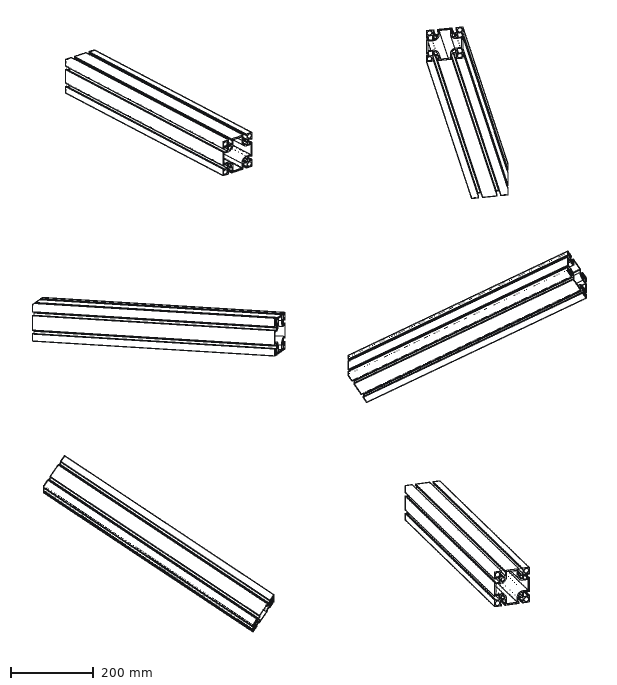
import cadquery as cq
import math

length = 609.5
side = 90.0
half = side / 2
corner_radius = 2.0

slot_offset = 22.5
slot_opening = 9.0
slot_width = 13.0
slot_depth = 14.5
lip_thickness = 3.5

groove_width = 2.0
groove_depth = 1.0

wall_thickness = 2.5
arm_half_width = slot_offset - slot_width / 2 - wall_thickness
block_edge = 26.0
block_bulge = 2.5

corner_bore_diameter = 11.5
corner_bore_offset = 37.0

cavity_corner = 27.0
cavity_leg = 9.0
cavity_bulge = 2.5


def profile_plane():
    """YZ workplane at the starting end of the extrusion."""
    return cq.Workplane("YZ").workplane(offset=-length / 2)


def slot_cutter(center):
    """T-slot with a V-groove in its floor, opening on the +Z face."""
    opening = slot_opening / 2
    pocket = slot_width / 2
    groove = groove_width / 2
    lip = half - lip_thickness
    floor = half - slot_depth
    outline = [
        (center - opening, half),
        (center - opening, lip),
        (center - pocket, lip),
        (center - pocket, floor),
        (center - groove, floor),
        (center, floor - groove_depth),
        (center + groove, floor),
        (center + pocket, floor),
        (center + pocket, lip),
        (center + opening, lip),
        (center + opening, half),
    ]
    return profile_plane().polyline(outline).close().extrude(length)


def turned_point(y, z, quarter):
    """Turn a profile point about the centre by a number of quarter turns."""
    angle = math.radians(90 * quarter)
    return (
        y * math.cos(angle) - z * math.sin(angle),
        y * math.sin(angle) + z * math.cos(angle),
    )


def arc_middle_coordinate(near, far, bulge):
    """Y and Z of the middle of an arc from (far, near) to (near, far) bulging towards the centre."""
    return (near + far) / 2 - bulge / math.sqrt(2)


def hollow_cutter():
    """Cross-shaped central hollow with an arc across each inner corner."""
    reach = half - lip_thickness
    arm = arm_half_width
    middle = arc_middle_coordinate(arm, block_edge, block_bulge)
    sketch = profile_plane().moveTo(reach, -arm)
    for quarter in range(4):
        sketch = (
            sketch.lineTo(*turned_point(reach, arm, quarter))
            .lineTo(*turned_point(block_edge, arm, quarter))
            .threePointArc(turned_point(middle, middle, quarter), turned_point(arm, block_edge, quarter))
            .lineTo(*turned_point(arm, reach, quarter))
        )
    return sketch.close().extrude(length)


def corner_bore_cutter():
    """Full-length round bores in the four corners."""
    spacing = 2 * corner_bore_offset
    centers = profile_plane().rect(spacing, spacing, forConstruction=True).vertices()
    return centers.circle(corner_bore_diameter / 2).extrude(length)


def cavity_cutter():
    """Full-length cavity inside the block of the +Y, +Z quarter."""
    inner = cavity_corner - cavity_leg
    middle = arc_middle_coordinate(inner, cavity_corner, cavity_bulge)
    sketch = (
        profile_plane()
        .moveTo(cavity_corner, cavity_corner)
        .lineTo(inner, cavity_corner)
        .threePointArc((middle, middle), (cavity_corner, inner))
        .close()
    )
    return sketch.extrude(length)


def quarter_turned(cutter, quarter):
    """Turn a cutter about the X axis by a number of quarter turns."""
    return cutter.rotate((0, 0, 0), (1, 0, 0), 90 * quarter)


bar = cq.Workplane("XY").box(length, side, side).edges("|X").fillet(corner_radius)
bar = bar.cut(hollow_cutter())
bar = bar.cut(corner_bore_cutter())

for quarter in range(4):
    bar = bar.cut(quarter_turned(cavity_cutter(), quarter))
    for center in (-slot_offset, slot_offset):
        bar = bar.cut(quarter_turned(slot_cutter(center), quarter))

result = bar